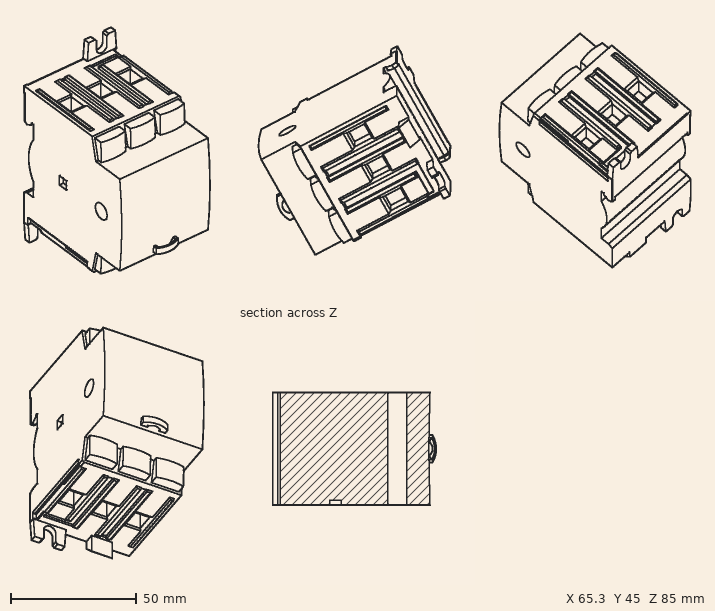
import cadquery as cq

width = 45.0
total_height = 85.0
body_height = 67.3
front_height = 45.2
rear_depth = 43.95
shoulder_foot = 46.15
front_edge = 61.5
front_crown = 62.8
pole_pitch = 15.05

half_width = width / 2
half_body = body_height / 2
half_front = front_height / 2
pole_centers = (-pole_pitch, 0, pole_pitch)

recess_floor = 6.0
recess_half = 17.9
lead_in_depth = 2.1
lead_in_rise = 0.9
bulge_crown = 3.0
bulge_half = 10.45
hook_tip = 15.55
hook_edge = 16.7
hook_inner = (4.85, 17.0)
hook_thickness = 1.6
plate_step = 0.3
side_step_top = 30.1
top_step_margin = 1.9

lug_thickness = 2.8
lug_root_inner = 7.6
lug_tip_inner = 8.25
lug_tip_outer = 21.85
lug_root = 33.3
lug_slot_y = 15.0
lug_slot_width = 5.3
lug_slot_bottom = 34.7
lug_slot_chamfer = 0.85

latch_y = (3.1, 12.4)
latch_thickness = 4.5
latch_tip = 41.9

bore_x = 49.6
bore_diameter = 7.5
square_x = 25.1
square_size = 4.5
square_depth = 1.95

rib_start = 5.6
rib_end = 40.6
rib_height = 0.6
rib_end_slope = 0.6
rib_foot = 3.9
rib_top_inner = 4.6
rib_top_outer = 6.1
outer_rib_side = 5.9
short_rib_start = 8.7

channel_start = 5.95
channel_depth = 1.0
channel_floor_end = 39.7
side_channel_end = 8.25
side_channel_y = 19.5

opening_x = (17.0, 24.9)
opening_half = 3.2
opening_depth = 8.5
funnel_x = (16.3, 26.2)
funnel_depth = 0.6

edge_recess_start = 2.4
edge_wall_y = pole_pitch + outer_rib_side
edge_ledge = 30.6
edge_slope_foot = 30.0
edge_slope_width = 0.85
edge_chamfer_height = 0.85
edge_pad_start = 25.9
edge_pad_top = 31.9
edge_wall_chamfer = 0.3

cover_width = 12.4
cover_top = 32.4
cover_side_x = 47.85
cover_crown_x = 48.7
cover_flare = 0.25

front_dish = 0.4
eyelet_z = (-20.9, -17.9)
eyelet_half = 5.5
eyelet_straight = 63.7
eyelet_crown = 65.3
eyelet_hole_bottom = (2.6, 62.4, 63.75)
eyelet_hole_top = (4.4, 63.4, 64.6)

OVERLAP = 0.85


def box(x, y, z):
    """Box between the (low, high) pairs given for each axis."""
    size = [abs(high - low) for low, high in (x, y, z)]
    return cq.Workplane("XY").box(*size, centered=False).translate((min(x), min(y), min(z)))


def along_y(outline, y_low, y_high):
    """Extrude a closed XZ outline from y_low to y_high."""
    return outline.extrude(-(y_high - y_low)).translate((0, y_low, 0))


def along_x(points, x_low, x_high):
    """Extrude a closed polygon of (Y, Z) points from x_low to x_high."""
    outline = cq.Workplane("YZ").polyline(points).close()
    return outline.extrude(x_high - x_low).translate((x_low, 0, 0))


def turned(shape):
    """Copy turned half a turn about the X axis, from the top side to the bottom side."""
    return shape.rotate((0, 0, 0), (1, 0, 0), 180)


def body():
    lead_in_edge = recess_half + lead_in_rise
    outline = (
        cq.Workplane("XZ")
        .moveTo(0, half_body)
        .lineTo(rear_depth, half_body)
        .lineTo(rear_depth, cover_top)
        .lineTo(shoulder_foot, half_front)
        .lineTo(front_edge, half_front)
        .threePointArc((front_crown, 0), (front_edge, -half_front))
        .lineTo(shoulder_foot, -half_front)
        .lineTo(rear_depth, -cover_top)
        .lineTo(rear_depth, -half_body)
        .lineTo(0, -half_body)
        .lineTo(0, -lead_in_edge)
        .lineTo(lead_in_depth, -recess_half)
        .lineTo(recess_floor, -recess_half)
        .lineTo(recess_floor, -bulge_half)
        .threePointArc((bulge_crown, 0), (recess_floor, bulge_half))
        .lineTo(recess_floor, recess_half)
        .lineTo(lead_in_depth, recess_half)
        .lineTo(0, lead_in_edge)
        .close()
    )
    return along_y(outline, -half_width, half_width)


def rail_hook(y_low):
    """Hook at one end of the upper edge of the rail recess."""
    inner_x, inner_z = hook_inner
    outline = cq.Workplane("XZ").polyline([
        (0, recess_half + lead_in_rise + OVERLAP),
        (0, hook_edge),
        (lead_in_depth, hook_tip),
        (inner_x, inner_z),
        (inner_x, recess_half + lead_in_rise + OVERLAP),
    ]).close()
    return along_y(outline, y_low, y_low + hook_thickness)


def rear_plate_steps():
    """Shallow steps that leave the upper rear plate proud of the body edges."""
    depth = (-OVERLAP, plate_step)
    near_side = box(depth, (-half_width - OVERLAP, -half_width + plate_step), (0, side_step_top))
    far_side = box(depth, (half_width - plate_step, half_width + OVERLAP), (0, half_body))
    top = box(
        depth,
        (-half_width + top_step_margin, lug_root_inner),
        (half_body - plate_step, half_body + OVERLAP),
    )
    return near_side.union(far_side).union(top)


def mounting_lug():
    """Slotted lug on the rear plate, at the top on the +Y side."""
    tip = total_height / 2
    plate = along_x(
        [(half_width, lug_root), (lug_root_inner, lug_root), (lug_tip_inner, tip), (lug_tip_outer, tip)],
        0, lug_thickness,
    )
    half_slot = lug_slot_width / 2
    mouth_half = half_slot + lug_slot_chamfer
    slot = (
        cq.Workplane("YZ")
        .moveTo(lug_slot_y - mouth_half, tip)
        .lineTo(lug_slot_y - half_slot, tip - lug_slot_chamfer)
        .lineTo(lug_slot_y - half_slot, lug_slot_bottom + half_slot)
        .threePointArc((lug_slot_y, lug_slot_bottom), (lug_slot_y + half_slot, lug_slot_bottom + half_slot))
        .lineTo(lug_slot_y + half_slot, tip - lug_slot_chamfer)
        .lineTo(lug_slot_y + mouth_half, tip)
        .close()
        .extrude(lug_thickness)
    )
    return plate.cut(slot)


def release_latch():
    """Latch tongue below the body with a 45 degree bevel on its rear side."""
    outline = cq.Workplane("XZ").polyline([
        (0, -half_body + OVERLAP),
        (0, -latch_tip + latch_thickness),
        (latch_thickness, -latch_tip),
        (latch_thickness, -half_body + OVERLAP),
    ]).close()
    return along_y(outline, *latch_y)


def rib(pole_y, side, offsets, start):
    """Rib beside a wire opening; offsets are its foot, inner top edge and outer face."""
    foot, inner_top, outer = offsets
    crest = half_body + rib_height
    section = [(foot, half_body), (inner_top, crest), (outer, crest),
               (outer, half_body - OVERLAP), (foot, half_body - OVERLAP)]
    profile = along_x([(pole_y + side * y, z) for y, z in section], start, rib_end)
    ends = cq.Workplane("XZ").polyline([
        (start, 0),
        (start, half_body),
        (start + rib_end_slope, crest),
        (rib_end - rib_end_slope, crest),
        (rib_end, half_body),
        (rib_end, 0),
    ]).close()
    return profile.intersect(along_y(ends, -half_width, half_width))


def ribs():
    inner = (rib_foot, rib_top_inner, rib_top_outer)
    outermost = (rib_foot, rib_top_inner, outer_rib_side)
    group = cq.Workplane("XY")
    for pole_y in pole_centers:
        start = short_rib_start if pole_y > 0 else rib_start
        for side in (-1, 1):
            at_edge = pole_y * side > 0
            group = group.union(rib(pole_y, side, outermost if at_edge else inner, start))
    return group


def channels():
    """Two channels between the ribs and one round the rear end of the +Y pole."""
    floor = half_body - channel_depth
    crest = half_body + rib_height
    group = box(
        (channel_start, side_channel_end),
        (rib_top_outer, side_channel_y),
        (floor, crest),
    )
    for pole_y in pole_centers[:-1]:
        outline = cq.Workplane("XZ").polyline([
            (channel_start, floor),
            (channel_floor_end, floor),
            (rib_end, crest),
            (channel_start, crest),
        ]).close()
        group = group.union(along_y(outline, pole_y + rib_top_outer, pole_y + pole_pitch - rib_top_outer))
    return group


def wire_opening(pole_y):
    """Rectangular wire pocket with a funnel-shaped mouth."""
    pocket = box(
        opening_x,
        (pole_y - opening_half, pole_y + opening_half),
        (half_body - opening_depth, half_body),
    )
    mouth = (
        cq.Workplane("XY", origin=(0, pole_y, half_body - funnel_depth))
        .center(sum(opening_x) / 2, 0)
        .rect(opening_x[1] - opening_x[0], 2 * opening_half)
        .workplane(offset=funnel_depth)
        .center((sum(funnel_x) - sum(opening_x)) / 2, 0)
        .rect(funnel_x[1] - funnel_x[0], 2 * rib_foot)
        .loft(ruled=True)
    )
    return pocket.union(mouth)


def long_edge_cut():
    """Ledge along the +Y top edge, with its raised pad left standing, and the edge chamfers."""
    slope_y = half_width - edge_slope_width
    above = half_body + OVERLAP
    ledge = along_x(
        [(edge_wall_y, edge_ledge), (slope_y, edge_ledge), (half_width, edge_slope_foot),
         (half_width + OVERLAP, edge_slope_foot), (half_width + OVERLAP, above), (edge_wall_y, above)],
        edge_recess_start, rib_end,
    )
    pad = box((edge_pad_start, rib_end), (edge_wall_y, slope_y), (edge_ledge, edge_pad_top))
    chamfer = along_x(
        [(slope_y, half_body), (half_width, half_body - edge_chamfer_height), (half_width, half_body)],
        rib_end, rear_depth,
    )
    wall_chamfer = along_x(
        [(edge_wall_y - edge_wall_chamfer, half_body), (edge_wall_y, half_body - edge_wall_chamfer),
         (edge_wall_y, half_body)],
        edge_recess_start, short_rib_start,
    )
    return ledge.cut(pad).union(chamfer).union(wall_chamfer)


def cover_outline(plane, flare):
    """Cover outline with a bowed front, moved out by `flare`."""
    half_cover = cover_width / 2
    root = rear_depth - OVERLAP
    return (
        plane.moveTo(root, -half_cover)
        .lineTo(cover_side_x + flare, -half_cover)
        .threePointArc((cover_crown_x + flare, 0), (cover_side_x + flare, half_cover))
        .lineTo(root, half_cover)
        .close()
    )


def terminal_cover(pole_y):
    """Top-side cover whose front leans out towards the front block."""
    foot = cover_outline(cq.Workplane("XY", origin=(0, pole_y, half_front)), cover_flare)
    top_plane = foot.workplane(offset=cover_top - half_front)
    return cover_outline(top_plane, 0).loft(ruled=True)


def front_section(plane, dish):
    """Space in front of the bowed face, with its crown set back by `dish`."""
    return (
        plane.moveTo(front_edge, half_front)
        .threePointArc((front_crown - dish, 0), (front_edge, -half_front))
        .lineTo(front_crown + OVERLAP, -half_front)
        .lineTo(front_crown + OVERLAP, half_front)
        .close()
    )


def front_hollow():
    """Smooth shallow hollow that fades out at all four edges of the front face."""
    far_side = front_section(cq.Workplane("XZ", origin=(0, half_width, 0)), 0)
    middle = front_section(far_side.workplane(offset=half_width), front_dish)
    near_side = front_section(middle.workplane(offset=half_width), 0)
    return near_side.loft()


def eyelet_outline(plane, half, straight, crown):
    """D-shaped outline: straight sides up to `straight`, then an arc out to `crown`."""
    root = front_edge - OVERLAP
    return (
        plane.moveTo(root, -half)
        .lineTo(straight, -half)
        .threePointArc((crown, 0), (straight, half))
        .lineTo(root, half)
        .close()
    )


def sealing_eyelet():
    """Half-round eyelet with a hole that tapers downwards."""
    low, high = eyelet_z
    thickness = high - low
    base = cq.Workplane("XY", origin=(0, 0, low))
    ring = eyelet_outline(base, eyelet_half, eyelet_straight, eyelet_crown).extrude(thickness)
    hole_foot = eyelet_outline(base, *eyelet_hole_bottom)
    hole = eyelet_outline(hole_foot.workplane(offset=thickness), *eyelet_hole_top).loft(ruled=True)
    return ring.cut(hole)


def top_side_cuts():
    cuts = channels().union(long_edge_cut())
    for pole_y in pole_centers:
        cuts = cuts.union(wire_opening(pole_y))
    return cuts


result = body()
for hook_y in (-half_width, half_width - hook_thickness):
    result = result.union(rail_hook(hook_y))
result = result.cut(rear_plate_steps())
for pole_y in pole_centers:
    cover = terminal_cover(pole_y)
    result = result.union(cover).union(turned(cover))

top_ribs = ribs()
top_cuts = top_side_cuts()
lug = mounting_lug()
result = result.union(top_ribs).union(turned(top_ribs))
result = result.cut(top_cuts).cut(turned(top_cuts))
result = result.union(lug).union(turned(lug)).union(release_latch())

bore = cq.Workplane("XZ").center(bore_x, 0).circle(bore_diameter / 2)
result = result.cut(along_y(bore, -half_width, half_width))
square = cq.Workplane("XZ").center(square_x, 0).rect(square_size, square_size)
result = result.cut(along_y(square, -half_width, -half_width + square_depth))

result = result.cut(front_hollow()).union(sealing_eyelet())